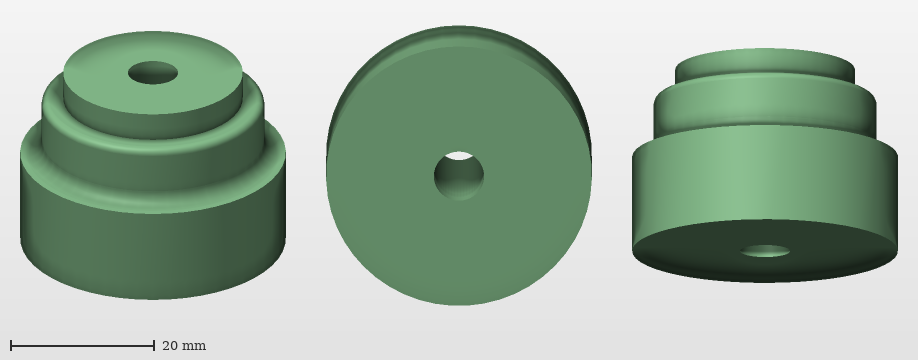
import cadquery as cq

base_diameter = 37.0
body_diameter = 31.0
boss_diameter = 25.0
bore_diameter = 7.0

base_top = 13.5
body_top = 22.0
total_height = 26.0

root_fillet = 2.0
shoulder_round = 1.0

base_radius = base_diameter / 2
body_radius = body_diameter / 2
boss_radius = boss_diameter / 2
bore_radius = bore_diameter / 2

half_section = (
    cq.Workplane("XZ")
    .moveTo(bore_radius, 0)
    .lineTo(base_radius, 0)
    .lineTo(base_radius, base_top)
    .lineTo(body_radius + root_fillet, base_top)
    .radiusArc((body_radius, base_top + root_fillet), root_fillet)
    .lineTo(body_radius, body_top - shoulder_round)
    .radiusArc((body_radius - shoulder_round, body_top), -shoulder_round)
    .lineTo(boss_radius, body_top)
    .lineTo(boss_radius, total_height)
    .lineTo(bore_radius, total_height)
    .close()
)

result = half_section.revolve(360, (0, 0, 0), (0, 1, 0))